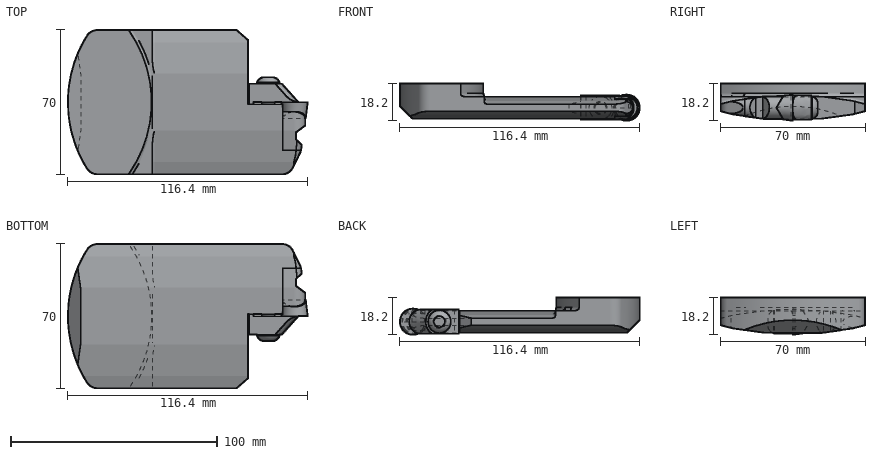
import cadquery as cq
import math

overall_length = 116.4
half_width = 35.0
nose_diameter = 11.0
nose_radius = nose_diameter / 2
pad_raise = 0.1
mid_z = 6.4
head_top_z = 18.2
flat_half_height = nose_radius - pad_raise
shoulder_drop = 2.1
shoulder_half_height = flat_half_height - shoulder_drop
edge_half_height = 1.7
flat_half_width = 13.8
shoulder_half_width = 29.0
lens_radius = 60.5
lens_length = 40.6
head_corner_radius = 6.3
step_x = 40.8
root_radius = 1.5
end_bevel = 6.2

back_shoulder_x = 87.4
back_chamfer_x = 5.6
back_chamfer_y = 4.9
seat_face_y = -0.9
nose_corner_x = 107.5
nose_corner_radius = 5.8
slant_top = (115.0, -19.9)

insert_radius = 6.4
insert_x = overall_length - insert_radius
nose_x = 109.6
pad_left_x = 104.1
pad_end_y = -23.3
upper_nose_end_y = -16.3
lower_nose_x = 108.2
lower_nose_start = (5.7, -15.1)
lower_nose_middle = (4.8, -23.5)
lower_nose_end = (1.7, -half_width)
notch_root_x = 110.6
notch_root_y = (-14.7, -18.0)
notch_rim = [(115.7, -10.9), (114.0, -21.3)]

insert_top_y = 0.0
insert_depth = 7.9
insert_relief = math.radians(7)
vee_slope = math.tan(math.radians(30))

clamp_top_y = 9.0
clamp_half_height = 5.9
clamp_gap = 0.3
clamp_left_x = back_shoulder_x + clamp_gap
clamp_tip_x = 105.9
clamp_foot_length = 2.3
clamp_slope_edge_x = 100.5
clamp_slope_crown_x = 103.8
clamp_slope_run = 8.0
screw_x = 97.2
screw_head_diameter = 11.0
screw_head_radius = screw_head_diameter / 2
screw_head_height = 3.1
screw_rim_height = 0.6
screw_dome_middle = (4.5, 2.1)
screw_top_radius = 2.7
screw_shank_diameter = 6.4

reach = 139.6
clearance = 1.2
head_overhang = 5.8


def cylinder_along_y(x, radius, y_top, y_bottom):
    """Cylinder on the mid height, running from y_top down to y_bottom."""
    return (
        cq.Workplane("XZ", origin=(x, y_top, mid_z))
        .circle(radius)
        .extrude(y_top - y_bottom)
    )


def revolve_about_y(x, profile):
    """Turn a closed (radius, y) profile about the axis parallel to Y at the given x."""
    return profile.revolve(360, (0, 0), (0, 1)).translate((x, 0, mid_z))


def box_between(x_range, y_range, z_range):
    size = [high - low for low, high in (x_range, y_range, z_range)]
    corner = (x_range[0], y_range[0], z_range[0])
    return cq.Workplane("XY").box(*size, centered=False).translate(corner)


def facet_profile(raised):
    """(y, offset from mid height) of one faceted face, from one side to the other."""
    right = [
        (flat_half_width, flat_half_height + raised),
        (shoulder_half_width, shoulder_half_height + raised),
        (half_width, edge_half_height + raised),
    ]
    return [(-y, z) for y, z in reversed(right)] + right


def faceted_bar(raised):
    """Long bar along X with the blade's section, faceted above and below."""
    upper = [(y, mid_z + z) for y, z in facet_profile(raised)]
    lower = [(y, mid_z - z) for y, z in reversed(facet_profile(raised))]
    return cq.Workplane("YZ").polyline(upper + lower).close().extrude(reach)


def lens_sagitta(y):
    return lens_radius - math.sqrt(lens_radius**2 - y**2)


def plan_blank(height):
    """Plan outline of the holder, raised from z = 0."""
    side_x = lens_sagitta(half_width)
    blank = (
        cq.Workplane("XY")
        .moveTo(side_x, -half_width)
        .lineTo(nose_corner_x, -half_width)
        .lineTo(*slant_top)
        .lineTo(slant_top[0], upper_nose_end_y)
        .lineTo(lower_nose_x, upper_nose_end_y)
        .lineTo(lower_nose_x, seat_face_y)
        .lineTo(back_shoulder_x, seat_face_y)
        .lineTo(back_shoulder_x, half_width - back_chamfer_y)
        .lineTo(back_shoulder_x - back_chamfer_x, half_width)
        .lineTo(side_x, half_width)
        .threePointArc((0, 0), (side_x, -half_width))
        .close()
        .extrude(height)
    )
    nose_corner = cq.selectors.NearestToPointSelector((nose_corner_x, -half_width, height / 2))
    blank = blank.edges(nose_corner).fillet(nose_corner_radius)
    head_corners = cq.selectors.BoxSelector(
        (side_x - clearance, -half_width - clearance, -clearance),
        (side_x + clearance, half_width + clearance, height + clearance),
    )
    return blank.edges("|Z").edges(head_corners).fillet(head_corner_radius)


def shelf_cutter():
    """Space above the flat band, bounded by the head's inner arc with a rounded foot."""
    outer_y = half_width + head_overhang
    arc_x = lens_length - lens_sagitta(outer_y)
    cutter = (
        cq.Workplane("XY", origin=(0, 0, mid_z + flat_half_height))
        .moveTo(arc_x, -outer_y)
        .lineTo(reach, -outer_y)
        .lineTo(reach, outer_y)
        .lineTo(arc_x, outer_y)
        .threePointArc((lens_length, 0), (arc_x, -outer_y))
        .close()
        .extrude(head_top_z)
    )
    return cutter.faces("<Z").edges("%CIRCLE").fillet(root_radius)


def slope_cutter(start, end):
    """Space above one blade slope, with a rounded foot against the step wall."""
    (y0, z0), (y1, z1) = start, end
    floor_z = mid_z + z0
    rounding = root_radius * (1 - math.sqrt(0.5))
    profile = (
        cq.Workplane("XZ", origin=(0, y0, 0))
        .moveTo(step_x, floor_z + root_radius)
        .threePointArc((step_x + rounding, floor_z + rounding), (step_x + root_radius, floor_z))
        .lineTo(reach, floor_z)
        .lineTo(reach, floor_z + head_top_z)
        .lineTo(step_x, floor_z + head_top_z)
        .close()
    )
    face = cq.Face.makeFromWires(profile.val())
    return cq.Workplane(cq.Solid.extrudeLinear(face, cq.Vector(0, y1 - y0, z1 - z0)))


def underside_space():
    """Space below the faceted underside."""
    lower = [(y, mid_z - z) for y, z in facet_profile(0)]
    below = [(half_width, -clearance), (-half_width, -clearance)]
    return cq.Workplane("YZ").polyline(lower + below).close().extrude(reach)


def end_bevel_space():
    """Space under the 45 degree bevel of the rounded end."""
    bottom_z = mid_z - flat_half_height
    bevel_top_z = end_bevel + bottom_z + clearance
    return (
        cq.Workplane("XZ", origin=(0, reach / 2, 0))
        .polyline([(end_bevel + bottom_z, 0), (-clearance, 0), (-clearance, bevel_top_z)])
        .close()
        .extrude(reach)
    )


def blade_and_head():
    body = plan_blank(head_top_z).cut(underside_space()).cut(end_bevel_space())
    body = body.cut(shelf_cutter())
    flat_z = mid_z + flat_half_height
    body = body.cut(box_between((step_x, reach), (-reach, reach), (flat_z, reach)))
    profile = facet_profile(0)
    slopes = [pair for pair in zip(profile, profile[1:]) if pair[0][1] != pair[1][1]]
    for start, end in slopes:
        body = body.cut(slope_cutter(start, end))
    lower_end = box_between((lower_nose_x, reach), (-reach, reach), (-clearance, reach))
    return body.cut(lower_end.cut(lower_nose(0)))


def lower_nose(raised):
    """Tapered round end of the blade below the notch, its radii enlarged by `raised`."""
    radii_and_heights = (lower_nose_start, lower_nose_middle, lower_nose_end)
    start, middle, end = [(radius + raised, y) for radius, y in radii_and_heights]
    profile = (
        cq.Workplane("XY")
        .moveTo(0, start[1])
        .lineTo(*start)
        .threePointArc(middle, end)
        .lineTo(0, end[1])
        .close()
    )
    return revolve_about_y(lower_nose_x, profile)


def seat_pad():
    """Slightly raised pad that carries the insert and ends in a round nose."""
    pad = box_between((pad_left_x, lower_nose_x), (pad_end_y, seat_face_y), (0, head_top_z))
    pad = pad.union(
        box_between((lower_nose_x, nose_x), (upper_nose_end_y, seat_face_y), (0, head_top_z))
    )
    lower_end = box_between((lower_nose_x, reach), (pad_end_y, upper_nose_end_y), (0, head_top_z))
    pad = pad.union(lower_end.intersect(lower_nose(pad_raise)))
    pad = pad.union(cylinder_along_y(nose_x, nose_radius, seat_face_y, upper_nose_end_y))
    return pad.intersect(faceted_bar(pad_raise))


def vee_prism(left_x):
    """Space over the V-shaped insert seat, from left_x outwards."""
    ridge_y = insert_top_y - insert_depth
    rise = vee_slope * reach
    return (
        cq.Workplane("YZ", origin=(left_x, 0, mid_z))
        .polyline([(ridge_y, 0), (ridge_y + rise, reach), (ridge_y + rise, -reach)])
        .close()
        .extrude(reach)
    )


def make_insert():
    """Round tapered cutting insert with a V-shaped underside."""
    tip_radius = insert_radius - insert_depth * math.tan(insert_relief)
    profile = cq.Workplane("XY").polyline(
        [
            (0, insert_top_y),
            (insert_radius, insert_top_y),
            (tip_radius, insert_top_y - insert_depth),
            (0, insert_top_y - insert_depth),
        ]
    ).close()
    return revolve_about_y(insert_x, profile).intersect(vee_prism(0))


def clamp_slope():
    """Oblique round-fronted prism that gives the clamp its sloped side."""
    profile = (
        cq.Workplane("XZ", origin=(0, clamp_top_y, mid_z))
        .moveTo(0, -clamp_half_height)
        .lineTo(clamp_slope_edge_x, -clamp_half_height)
        .threePointArc((clamp_slope_crown_x, 0), (clamp_slope_edge_x, clamp_half_height))
        .lineTo(0, clamp_half_height)
        .close()
    )
    face = cq.Face.makeFromWires(profile.val())
    drop = cq.Vector(clamp_slope_run, insert_top_y - clamp_top_y, 0)
    return cq.Workplane(cq.Solid.extrudeLinear(face, drop))


def clamp():
    z_range = (mid_z - clamp_half_height, mid_z + clamp_half_height)
    arm = box_between((clamp_left_x, clamp_tip_x), (insert_top_y, clamp_top_y), z_range)
    arm = arm.union(cylinder_along_y(clamp_tip_x, clamp_half_height, clamp_top_y, insert_top_y))
    foot_x = (clamp_left_x, clamp_left_x + clamp_foot_length)
    foot = box_between(foot_x, (seat_face_y, insert_top_y), z_range)
    return arm.intersect(clamp_slope()).union(foot)


def clamp_screw():
    """Button head on top of the clamp and the shank crossing the gap below it."""
    profile = (
        cq.Workplane("XY")
        .lineTo(screw_head_radius, 0)
        .lineTo(screw_head_radius, screw_rim_height)
        .threePointArc(screw_dome_middle, (screw_top_radius, screw_head_height))
        .lineTo(0, screw_head_height)
        .close()
    )
    head = revolve_about_y(screw_x, profile).translate((0, clamp_top_y, 0))
    shank = cylinder_along_y(screw_x, screw_shank_diameter / 2, clamp_top_y, seat_face_y)
    return head.union(shank)


def nose_notch():
    """Tapered notch across the nose, between the insert seat and the lower nose."""
    upper_rim, lower_rim = notch_rim
    outer_x = upper_rim[0] + clearance
    outline = [
        upper_rim,
        (notch_root_x, notch_root_y[0]),
        (notch_root_x, notch_root_y[1]),
        lower_rim,
        (outer_x, lower_rim[1]),
        (outer_x, upper_rim[1]),
    ]
    return cq.Workplane("XY").polyline(outline).close().extrude(head_top_z)


def make_holder(insert):
    """Holder with its clamp and screw, recessed where the insert sits."""
    body = blade_and_head().union(seat_pad()).cut(nose_notch())
    body = body.cut(vee_prism(pad_left_x))
    return body.union(clamp()).union(clamp_screw()).cut(insert)


insert = make_insert()
holder = make_holder(insert)
result = cq.Compound.makeCompound([holder.val(), insert.val()])